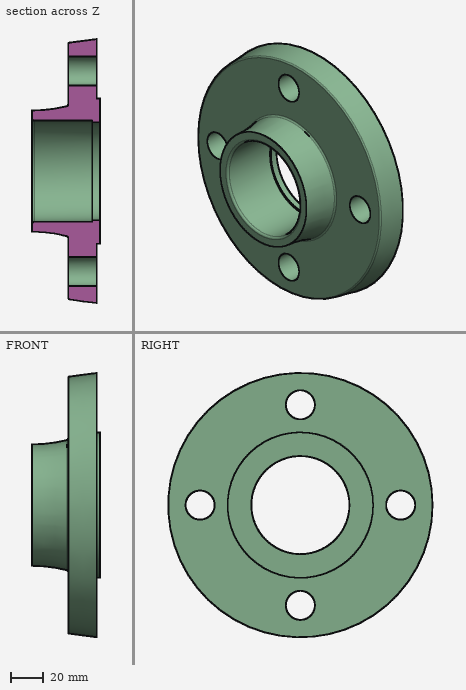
import cadquery as cq
import math

outer_diameter = 165.0
flange_thickness = 18.0
rim_draft_angle = 7.5
rim_fillet = 1.0

sealing_face_diameter = 90.8
sealing_face_height = 2.0

hub_length = 22.6
hub_tip_diameter = 75.9
hub_root_diameter = 81.7
hub_root_fillet = 1.2

bore_diameter = 63.0
bore_mouth_fillet = 1.5
lip_diameter = 61.0
lip_length = 5.0

bolt_hole_diameter = 18.0
bolt_circle_diameter = 125.0
bolt_count = 4

flange_back = hub_length + flange_thickness
total_length = flange_back + sealing_face_height

INNERMOST = cq.selectors.RadiusNthSelector(0)


def revolve_about_x(profile):
    return profile.close().revolve(360, (0, 0, 0), (1, 0, 0))


def cylinder_along_x(diameter, start, end):
    return cq.Workplane("YZ").workplane(offset=start).circle(diameter / 2).extrude(end - start)


def make_disc():
    rim_drop = flange_thickness * math.tan(math.radians(rim_draft_angle))
    rim_back_radius = outer_diameter / 2
    profile = (
        cq.Workplane("XY")
        .moveTo(hub_length, 0)
        .lineTo(hub_length, rim_back_radius - rim_drop)
        .lineTo(flange_back, rim_back_radius)
        .lineTo(flange_back, 0)
    )
    disc = revolve_about_x(profile).faces("<X").edges().fillet(rim_fillet)
    sealing_face = cylinder_along_x(sealing_face_diameter, flange_back, total_length)
    return disc.union(sealing_face)


def make_hub():
    tip_radius = hub_tip_diameter / 2
    root_radius = hub_root_diameter / 2
    flare_rise = root_radius - tip_radius
    flare_radius = (hub_length**2 + flare_rise**2) / (2 * flare_rise)
    profile = (
        cq.Workplane("XY")
        .lineTo(0, tip_radius)
        .radiusArc((hub_length, root_radius), -flare_radius)
        .lineTo(hub_length, 0)
    )
    return revolve_about_x(profile)


def make_bolt_holes():
    return (
        cq.Workplane("YZ")
        .polarArray(bolt_circle_diameter / 2, 0, 360, bolt_count)
        .circle(bolt_hole_diameter / 2)
        .extrude(total_length)
    )


body = make_disc().union(make_hub())

disc_front = body.faces("%PLANE").faces(">X[1]")
body = disc_front.edges(INNERMOST).fillet(hub_root_fillet)

body = body.cut(cylinder_along_x(bore_diameter, 0, total_length - lip_length))
body = body.faces("<X").edges(INNERMOST).fillet(bore_mouth_fillet)
body = body.cut(cylinder_along_x(lip_diameter, 0, total_length))

result = body.cut(make_bolt_holes())